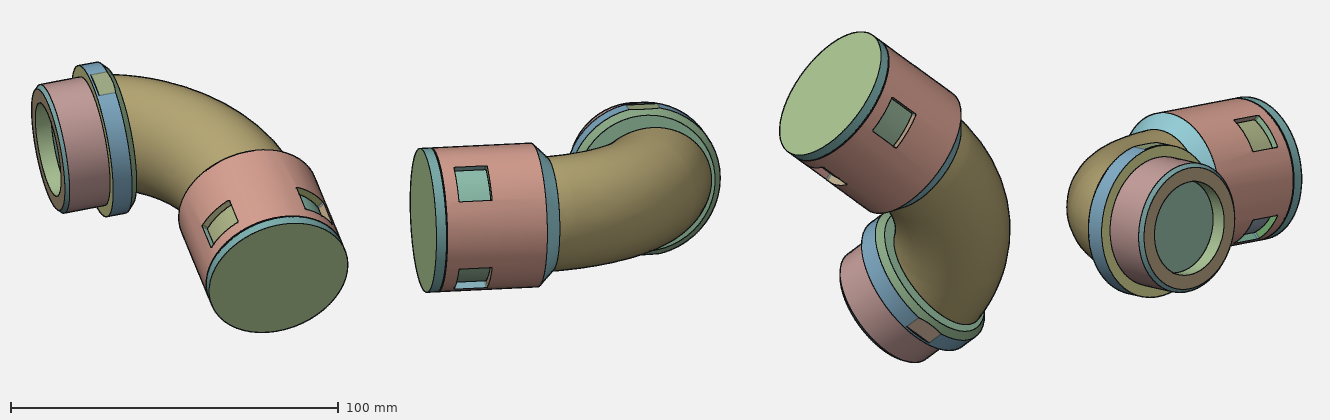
import cadquery as cq


spigot_diameter = 40.0
spigot_tip_diameter = 37.7
spigot_length = 14.0
tip_chamfer_length = 1.2
bore_diameter = 29.0
bore_depth = 5.0

collar_diameter = 47.0
collar_height = 8.0
collar_chamfer = 2.0
collar_top = spigot_length + collar_height
flat_distance = 23.0
flat_ledge = 0.8

socket_diameter = 44.0
cone_start_diameter = 34.5
socket_axis_y = 52.0
socket_end_x = 74.6
socket_body_length = 34.4
socket_body_x = socket_end_x - socket_body_length
cone_length = (socket_diameter - cone_start_diameter) / 2
cone_start_x = socket_body_x - cone_length

end_ring_width = 3.2
groove_width = 0.25
groove_depth = 0.5

window_count = 4
window_first_angle = 45.0
window_width = 12.2
window_floor_diameter = 39.4
window_corner_radius = 0.4
window_length = 10.3
window_start_x = 56.8

tube_diameter = 35.0
bend_radius = 46.2
bend_center_x = 41.2
bend_center_y = socket_axis_y - bend_radius
bend_start_y = spigot_length + collar_chamfer


def make_spigot_and_collar():
    """Revolve the spigot and its collar about the Y axis."""
    spigot_radius = spigot_diameter / 2
    collar_radius = collar_diameter / 2
    return (
        cq.Workplane("XY")
        .moveTo(0, 0)
        .lineTo(spigot_tip_diameter / 2, 0)
        .lineTo(spigot_radius, tip_chamfer_length)
        .lineTo(spigot_radius, spigot_length)
        .lineTo(collar_radius, spigot_length)
        .lineTo(collar_radius, collar_top - collar_chamfer)
        .lineTo(collar_radius - collar_chamfer, collar_top)
        .lineTo(0, collar_top)
        .close()
        .revolve(360, (0, 0, 0), (0, 1, 0))
    )


def make_collar_flats():
    """Two blocks that shave flats on the collar at +Z and -Z, above a thin ledge."""
    flat_start_y = spigot_length + flat_ledge
    flat_block = cq.Workplane("XY").box(
        collar_diameter, collar_top - flat_start_y, collar_diameter, centered=(True, False, False)
    )
    upper = flat_block.translate((0, flat_start_y, flat_distance))
    return upper.union(upper.mirror("XY"))


def make_bend():
    """Quarter torus between the collar and the socket, trimmed inside the collar."""
    quarter = (
        cq.Workplane("XZ", origin=(bend_center_x - bend_radius, bend_center_y, 0))
        .circle(tube_diameter / 2)
        .revolve(90, (bend_radius, 1, 0), (bend_radius, 0, 0))
    )
    trim_size = 2 * (bend_radius + tube_diameter)
    kept_side = cq.Workplane("XY").box(trim_size, trim_size, trim_size, centered=(True, False, True))
    return quarter.intersect(kept_side.translate((0, bend_start_y, 0)))


def make_socket():
    """Revolve the coned socket with its end groove about its own axis along X."""
    socket_radius = socket_diameter / 2
    groove_end_x = socket_end_x - end_ring_width
    groove_start_x = groove_end_x - groove_width
    return (
        cq.Workplane("XY", origin=(0, socket_axis_y, 0))
        .moveTo(cone_start_x, 0)
        .lineTo(cone_start_x, cone_start_diameter / 2)
        .lineTo(socket_body_x, socket_radius)
        .lineTo(groove_start_x, socket_radius)
        .lineTo(groove_start_x, socket_radius - groove_depth)
        .lineTo(groove_end_x, socket_radius - groove_depth)
        .lineTo(groove_end_x, socket_radius)
        .lineTo(socket_end_x, socket_radius)
        .lineTo(socket_end_x, 0)
        .close()
        .revolve(360, (0, 0, 0), (1, 0, 0))
    )


def make_window(angle):
    """Window cutter with parallel walls, rounded corners and a cylindrical floor."""
    block = (
        cq.Workplane("XY")
        .box(window_length, socket_diameter, window_width, centered=(False, False, True))
        .edges("|Y")
        .fillet(window_corner_radius)
    )
    core = cq.Workplane("YZ").circle(window_floor_diameter / 2).extrude(window_length)
    cutter = block.cut(core).rotate((0, 0, 0), (1, 0, 0), angle)
    return cutter.translate((window_start_x, socket_axis_y, 0))


def make_bore():
    """Blind bore in the spigot tip."""
    return cq.Workplane("XZ").circle(bore_diameter / 2).extrude(-bore_depth)


result = make_spigot_and_collar().cut(make_collar_flats())
result = result.union(make_bend()).union(make_socket())
for index in range(window_count):
    result = result.cut(make_window(window_first_angle + index * 360 / window_count))
result = result.cut(make_bore())